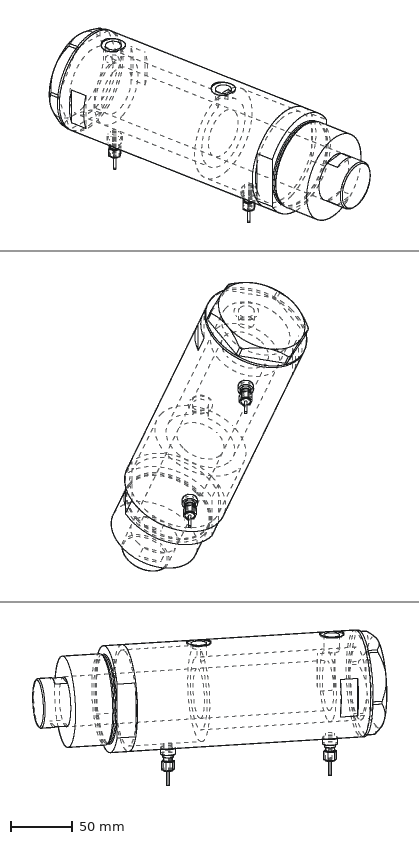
import cadquery as cq


cap_flange_start = 13.0
barrel_start = 15.0
cap_plug_end = 40.7
gland_inner_end = 149.3
barrel_end = 211.0
gland_flange_end = 226.7
gland_nose_end = 261.7
rod_end = 284.5

barrel_diameter = 88.0
barrel_radius = barrel_diameter / 2
bore_radius = 30.0
gland_seat_radius = 39.5
barrel_flat_start = 25.3
barrel_flat_end = 39.8
barrel_flat_offset = 41.0

port_positions = [37.5, gland_inner_end]
port_radius = 6.5
spotface_radius = 10.0
spotface_height = 42.7

hex_apothem = 37.5
hex_corner_radius = 42.7
hex_turn = 22.5

gland_flat_offset = 37.5
nose_radius = 37.5
relief_depth = 1.5
relief_floor_start = 227.5
relief_floor_end = 229.0
relief_root_slope_height = 0.9

rod_radius = 20.5
rod_chamfer = 1.0
rod_flat_end = 272.2
rod_flat_offset = 18.2

cutter_overlap = 2.8

fitting_positions = [39.0, 175.2]
stem_end = 41.2
stem_radius = 3.7
collar_radius = 6.3
collar_chamfer = 0.5
collar_bottom = 49.5
shoulder_radius = 4.5
shoulder_bottom = 52.0
nut_top = 55.8
nut_corner_radius = 5.5
nut_bottom = 63.0
nut_lip_step = 0.17
nut_lip_radius = stem_radius + nut_lip_step
nut_lip_height = 0.9
cable_radius = 1.0
overall_height = 120.3
cable_bottom = overall_height - barrel_radius


def cylinder_x(start, end, radius):
    """Round bar along X between two positions."""
    return cq.Workplane("YZ", origin=(start, 0, 0)).circle(radius).extrude(end - start)


def cylinder_z(x, bottom, top, radius):
    """Round bar along Z at the given X position."""
    return cq.Workplane("XY", origin=(x, 0, bottom)).circle(radius).extrude(top - bottom)


def revolve_x(points):
    """Solid of revolution about X from (x, radius) points."""
    return cq.Workplane("XY").polyline(points).close().revolve(360, (0, 0, 0), (1, 0, 0))


def flat_cutter(start, end, offset, radius):
    """Two slabs lying beyond +offset and -offset in Z, to cut a pair of parallel flats."""
    outer = radius + cutter_overlap
    centre = (start + end) / 2
    slab = cq.Workplane("XY").box(end - start, 2 * outer, outer - offset)
    middle = (offset + outer) / 2
    upper = slab.translate((centre, 0, middle))
    return upper.union(slab.translate((centre, 0, -middle)))


def side_flat_cutter(start, end, offset, radius):
    """The same pair of slabs turned to face -Y and +Y."""
    return flat_cutter(start, end, offset, radius).rotate((0, 0, 0), (1, 0, 0), 90)


def make_barrel():
    barrel = cylinder_x(barrel_start, barrel_end, barrel_radius)
    barrel = barrel.cut(cylinder_x(barrel_start, gland_inner_end, bore_radius))
    barrel = barrel.cut(cylinder_x(gland_inner_end, barrel_end, gland_seat_radius))
    barrel = barrel.cut(
        side_flat_cutter(barrel_flat_start, barrel_flat_end, barrel_flat_offset, barrel_radius)
    )
    for x in port_positions:
        barrel = barrel.cut(cylinder_z(x, 0, barrel_radius, port_radius))
        barrel = barrel.cut(cylinder_z(x, spotface_height, barrel_radius, spotface_radius))
    for x in fitting_positions:
        barrel = barrel.cut(cylinder_z(x, -barrel_radius, -stem_end, stem_radius))
    return barrel


def make_cap():
    hexagon = (
        cq.Workplane("YZ")
        .polygon(6, 2 * hex_apothem, circumscribed=True)
        .extrude(cap_flange_start)
    )
    bevel_length = hex_corner_radius - hex_apothem
    envelope = revolve_x([
        (0, 0),
        (0, hex_apothem),
        (bevel_length, hex_corner_radius),
        (cap_flange_start, hex_corner_radius),
        (cap_flange_start, 0),
    ])
    flange = cylinder_x(cap_flange_start, barrel_start, barrel_radius)
    plug = cylinder_x(barrel_start, cap_plug_end, bore_radius)
    cap = hexagon.intersect(envelope).union(flange).union(plug)
    return cap.rotate((0, 0, 0), (1, 0, 0), hex_turn)


def make_gland():
    relief_radius = nose_radius - relief_depth
    gland = revolve_x([
        (gland_inner_end, rod_radius),
        (gland_inner_end, gland_seat_radius),
        (barrel_end, gland_seat_radius),
        (barrel_end, barrel_radius),
        (gland_flange_end, barrel_radius),
        (gland_flange_end, relief_radius + relief_root_slope_height),
        (relief_floor_start, relief_radius),
        (relief_floor_end, relief_radius),
        (relief_floor_end + relief_depth, nose_radius),
        (gland_nose_end, nose_radius),
        (gland_nose_end, rod_radius),
    ])
    return gland.cut(
        side_flat_cutter(barrel_end, gland_flange_end, gland_flat_offset, barrel_radius)
    )


def make_rod():
    rod = cylinder_x(cap_plug_end, rod_end, rod_radius).faces(">X").chamfer(rod_chamfer)
    return rod.cut(flat_cutter(gland_nose_end, rod_flat_end, rod_flat_offset, rod_radius))


def make_fitting(x):
    stem = cylinder_z(x, -nut_top, -stem_end, stem_radius)
    collar = cylinder_z(x, -collar_bottom, -barrel_radius, collar_radius)
    collar = collar.faces(">Z").chamfer(collar_chamfer)
    shoulder = cylinder_z(x, -shoulder_bottom, -collar_bottom, shoulder_radius)
    lip_top = -nut_top + nut_lip_height
    lip_bottom = -nut_bottom - nut_lip_height
    lips = cylinder_z(x, lip_bottom, lip_top, nut_lip_radius)
    nut = (
        cq.Workplane("XY", origin=(x, 0, -nut_bottom))
        .polygon(6, 2 * nut_corner_radius)
        .extrude(nut_bottom - nut_top)
    )
    cable = cylinder_z(x, -cable_bottom, lip_bottom, cable_radius)
    return stem.union(collar).union(shoulder).union(lips).union(nut).union(cable)


barrel = make_barrel()
cap = make_cap()
gland = make_gland()
rod = make_rod()
fittings = [make_fitting(x) for x in fitting_positions]

result = cq.Compound.makeCompound(
    [barrel.val(), cap.val(), gland.val(), rod.val(), *[fitting.val() for fitting in fittings]]
)